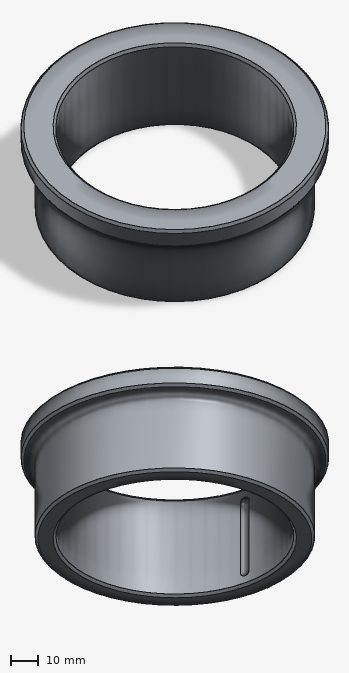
import cadquery as cq

flange_radius = 55.0
body_radius = 100.0 / 2
bore_radius = 85.0 / 2
height = 40.0
flange_thickness = 8.0
chamfer = 1.0
neck_fillet = 3.5

groove_radius = 2.0
groove_end_gap = 4.0

flange_bottom = height - flange_thickness


def make_ring():
    """Revolve the half section of the bushing, with all its chamfers and the neck fillet."""
    fillet_start = (body_radius, flange_bottom - neck_fillet)
    fillet_end = (body_radius + neck_fillet, flange_bottom)
    section = (
        cq.Workplane("XZ")
        .moveTo(bore_radius + chamfer, 0)
        .lineTo(body_radius - chamfer, 0)
        .lineTo(body_radius, chamfer)
        .lineTo(*fillet_start)
        .radiusArc(fillet_end, neck_fillet)
        .lineTo(flange_radius - chamfer, flange_bottom)
        .lineTo(flange_radius, flange_bottom + chamfer)
        .lineTo(flange_radius, height - chamfer)
        .lineTo(flange_radius - chamfer, height)
        .lineTo(bore_radius + chamfer, height)
        .lineTo(bore_radius, height - chamfer)
        .lineTo(bore_radius, chamfer)
        .close()
    )
    return section.revolve(360, (0, 0, 0), (0, 1, 0))


def make_groove():
    """Upright capsule centred on the bore wall; its outer half cuts the groove."""
    low_center = groove_end_gap + groove_radius
    high_center = height - low_center
    capsule = (
        cq.Workplane("XY")
        .circle(groove_radius)
        .extrude(high_center - low_center)
        .translate((bore_radius, 0, low_center))
    )
    for center_height in (low_center, high_center):
        ball = cq.Workplane("XY").sphere(groove_radius)
        capsule = capsule.union(ball.translate((bore_radius, 0, center_height)))
    return capsule


result = make_ring().cut(make_groove())